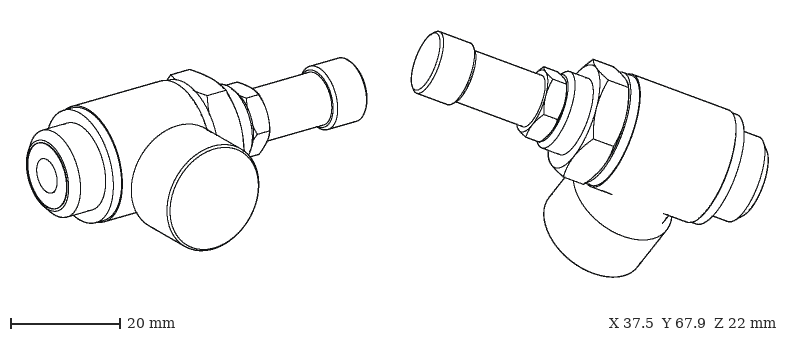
import cadquery as cq
import math

total_length = 67.9

spigot_radius = 8.3
spigot_length = 7.3
spigot_chamfer = 1.55
tip_radius = 6.25
tip_height = 0.15
bore_radius = 3.25
bore_depth = 13.6

body_radius = 11.0
rim_radius = 10.7
rim_length = 1.8
body_end = 30.95

nut_flats = 20.0
nut_end = 37.0
collar_radius = 7.5
collar_end = 41.75
collar_chamfer = 0.95

lock_nut_flats = 12.0
lock_nut_end = 45.7
stem_radius = 5.0
cap_radius = 6.05
cap_start = 60.35
cap_end_chamfer = 0.5
cap_inner_chamfer = 0.6

branch_y = 19.15
branch_end = 26.0
neck_radius = 8.95
neck_end = 13.5
neck_fillet = 0.5
socket_radius = 10.3
socket_start = 14.25
socket_fillet = 0.5
socket_end_chamfer = 0.4

nut_chamfer_angle = 30


def cylinder(radius, start, end):
    """Round length on the main Y axis."""
    plane = cq.Plane(origin=(0, start, 0), xDir=(1, 0, 0), normal=(0, 1, 0))
    return cq.Workplane(plane).circle(radius).extrude(end - start)


def hex_nut(flats, start, end):
    """Hexagon with corners on X, its corners turned down by a cone at both ends."""
    flat_radius = flats / 2
    corner_radius = flat_radius / math.cos(math.pi / 6)
    drop = (corner_radius - flat_radius) * math.tan(math.radians(nut_chamfer_angle))
    plane = cq.Plane(origin=(0, start, 0), xDir=(1, 0, 0), normal=(0, 1, 0))
    hexagon = cq.Workplane(plane).polygon(6, 2 * corner_radius).extrude(end - start)
    turned_profile = [
        (0, start),
        (flat_radius, start),
        (corner_radius, start + drop),
        (corner_radius, end - drop),
        (flat_radius, end),
        (0, end),
    ]
    turned = cq.Workplane("XY").polyline(turned_profile).close().revolve(360, (0, 0, 0), (0, 1, 0))
    return hexagon.intersect(turned)


socket_profile = [
    (0, branch_y),
    (0, branch_y + neck_radius),
    (neck_end, branch_y + neck_radius),
    (socket_start, branch_y + socket_radius),
    (branch_end, branch_y + socket_radius),
    (branch_end, branch_y),
]
socket = cq.Workplane("XY").polyline(socket_profile).close()
socket = socket.revolve(360, (0, branch_y, 0), (1, branch_y, 0))
socket = socket.faces(">X").chamfer(socket_end_chamfer)
root_center = (neck_end, branch_y, 0)
root = socket.edges(cq.selectors.NearestToPointSelector(root_center))
socket = root.fillet(socket_fillet)

body = cylinder(body_radius, spigot_length + rim_length, body_end - rim_length)
blended_body = body.union(socket)
seam_box = cq.selectors.BoxSelector((0, 0, -body_radius), (body_radius, body_end, body_radius))
seam = blended_body.edges(seam_box).edges("not %CIRCLE").edges("not %LINE")
blended_body = seam.fillet(neck_fillet)

rims = cylinder(rim_radius, spigot_length, body_end)
tip = cylinder(tip_radius, 0, tip_height)
spigot = cylinder(spigot_radius, tip_height, spigot_length).faces("<Y").chamfer(spigot_chamfer)
collar = cylinder(collar_radius, nut_end, collar_end).faces(">Y").chamfer(collar_chamfer)
stem = cylinder(stem_radius, lock_nut_end, cap_start)
cap = cylinder(cap_radius, cap_start, total_length)
cap = cap.faces(">Y").chamfer(cap_end_chamfer)
cap = cap.faces("<Y").chamfer(cap_inner_chamfer)

nut = hex_nut(nut_flats, body_end, nut_end)
lock_nut = hex_nut(lock_nut_flats, collar_end, lock_nut_end)

result = blended_body
for piece in (rims, tip, spigot, nut, collar, lock_nut, stem, cap):
    result = result.union(piece)

result = result.cut(cylinder(bore_radius, 0, bore_depth))